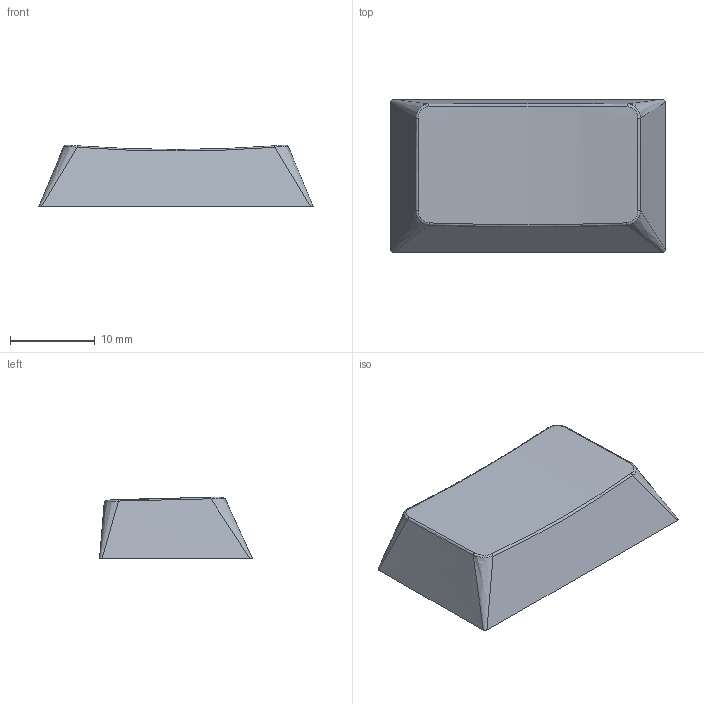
import cadquery as cq
import math

base_length = 32.29
base_width = 18.0
base_corner_radius = 0.3

rim_length = 26.3
rim_width = 14.1
rim_corner_radius = 1.7
rim_height = 7.13
rim_shift = 1.37
rim_tilt = 1.4

dish_depth = 0.55
rim_edge_radius = 0.3


def rounded_rectangle(length, width, radius):
    """Rectangular outline with rounded corners, centred on the origin."""
    return cq.Sketch().rect(length, width).vertices().fillet(radius)


def tilted_rim_plane():
    """Plane of the rim outline, leaning down towards +Y."""
    tilt = math.radians(rim_tilt)
    return cq.Plane(
        origin=(0, rim_shift, rim_height),
        xDir=(1, 0, 0),
        normal=(0, math.sin(tilt), math.cos(tilt)),
    )


def make_body(rim_plane):
    """Straight walls from the base outline up to the tilted rim outline."""
    base = rounded_rectangle(base_length, base_width, base_corner_radius)
    rim = rounded_rectangle(rim_length, rim_width, rim_corner_radius)
    rim_location = cq.Location(rim_plane)
    return cq.Workplane("XY").placeSketch(base, rim.moved(rim_location)).loft(ruled=True)


def make_dish_cutter(rim_plane):
    """Cylinder across the key whose surface meets the rim at both ends."""
    half_length = rim_length / 2
    dish_radius = (half_length**2 + dish_depth**2) / (2 * dish_depth)
    axis_height = dish_radius - dish_depth
    cutter_length = 2 * base_width
    across = cq.Plane(
        origin=rim_plane.toWorldCoords((0, cutter_length / 2, axis_height)),
        xDir=rim_plane.xDir,
        normal=-rim_plane.yDir,
    )
    return cq.Workplane(across).circle(dish_radius).extrude(cutter_length)


rim_plane = tilted_rim_plane()
body = make_body(rim_plane).cut(make_dish_cutter(rim_plane))
result = body.faces(">Z").edges().fillet(rim_edge_radius)